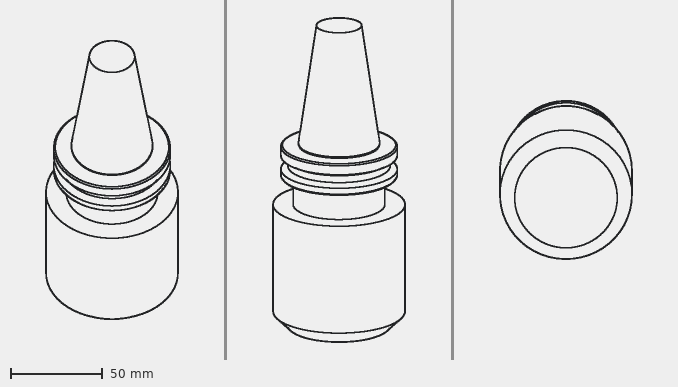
import cadquery as cq

total_length = 173.2
body_diameter = 72.0
nose_diameter = 56.0
body_top = 69.8
nose_chamfer = (body_diameter - nose_diameter) / 2

neck_diameter = 50.0
neck_top = 84.9
neck_flare_diameter = 51.8

flange_diameter = 63.5
flange_bottom = 86.0
flange_top = 104.1
flange_chamfer = 0.9
groove_diameter = 56.0
groove_floor_bottom = 92.2
groove_floor_top = 96.2
groove_flank_height = 1.9

relief_diameter = 43.8
taper_bottom = 105.0
taper_large_diameter = 44.5
taper_small_diameter = 24.8
taper_edge_chamfer = (taper_large_diameter - relief_diameter) / 2

body_profile = [
    (nose_diameter, 0),
    (body_diameter, nose_chamfer),
    (body_diameter, body_top),
    (neck_diameter, body_top),
    (neck_diameter, neck_top),
    (neck_flare_diameter, flange_bottom),
]
flange_profile = [
    (flange_diameter - 2 * flange_chamfer, flange_bottom),
    (flange_diameter, flange_bottom + flange_chamfer),
    (flange_diameter, groove_floor_bottom - groove_flank_height),
    (groove_diameter, groove_floor_bottom),
    (groove_diameter, groove_floor_top),
    (flange_diameter, groove_floor_top + groove_flank_height),
    (flange_diameter, flange_top - flange_chamfer),
    (flange_diameter - 2 * flange_chamfer, flange_top),
]
shank_profile = [
    (relief_diameter, flange_top),
    (relief_diameter, taper_bottom - taper_edge_chamfer),
    (taper_large_diameter, taper_bottom),
    (taper_small_diameter, total_length),
]

outline = [(0, 0)]
for diameter, height in body_profile + flange_profile + shank_profile:
    outline.append((diameter / 2, height))
outline.append((0, total_length))

result = cq.Workplane("XZ").polyline(outline).close().revolve(360, (0, 0), (0, 1))